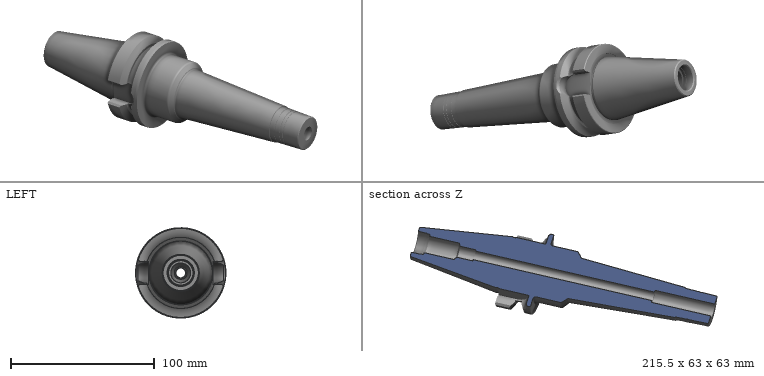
import cadquery as cq
import math

LENGTH = 215.5

TAPER_SMALL_R = 13.0
TAPER_LARGE_R = 44.5 / 2
TAPER_END_X = 64.6
TAPER_EDGE = 0.6
NECK_R = 44.0 / 2
NECK_BEVEL_LENGTH = 0.6

FLANGE_R = 63.0 / 2
FLANGE_FRONT_X = 66.3
FLANGE_BACK_X = 92.2
FLANGE_FRONT_EDGE = 0.5
FLANGE_BACK_EDGE_LENGTH = 1.5
FLANGE_BACK_EDGE_DEPTH = 0.2
RELIEF_R = 24.8
RELIEF_DEPTH = 0.5
GROOVE_START_X = 76.5
GROOVE_END_X = 87.0
GROOVE_FLANK_LENGTH = 2.8
GROOVE_FLANK_ANGLE = 60.0
GROOVE_FLOOR_R = 24.8

HUB_R = 44.5 / 2
HUB_FILLET = 1.5
HUB_ROUND_START_X = 111.0
HUB_BEVEL_START_X = 112.7
HUB_BEVEL_START_R = 21.3
HUB_END_X = 114.8
HUB_END_R = 18.7

SHANK_START_X = 116.0
SHANK_START_R = 17.7
SHANK_FILLET = 1.3
SHANK_END_X = 191.7
SHANK_END_R = 13.25
NOSE_START_R = 12.7
NOSE_END_R = 12.0
NOSE_EDGE = 0.5
RING_CENTERS_X = (196.2, 200.5, 203.1)
RING_WIDTH = 0.9
RING_DEPTH = 0.2

SLOT_WIDTH = 16.2
SLOT_FLOOR_Y = 22.5
SLOT_ARC_X = 80.3
SLOT_MOUTH_CHAMFER = 1.3
SLOT_END_BEVEL_DEPTH = 1.7

MOUTH_R = 17.7 / 2
MOUTH_CHAMFER = 0.6
COUNTERBORE_R = 17.0 / 2
MOUTH_DEPTH = 6.5
COUNTERBORE_DEPTH = 8.6
THREAD_R = 13.8 / 2
THREAD_END_X = 30.2
DRILL_POINT_ANGLE = 118.0
COOLANT_R = 7.0 / 2
PILOT_R = 9.0 / 2
PILOT_END_X = 43.0
TOOL_BORE_R = 10.0 / 2
TOOL_BORE_DEPTH = 43.0


def revolve_about_x(outline):
    return outline.close().revolve(360, (0, 0, 0), (1, 0, 0))


def make_body():
    flank_drop = GROOVE_FLANK_LENGTH * math.tan(math.radians(GROOVE_FLANK_ANGLE))
    flank_r = FLANGE_R - flank_drop
    outline = (
        cq.Workplane("XY")
        .moveTo(0, 0)
        .lineTo(0, TAPER_SMALL_R - TAPER_EDGE)
        .lineTo(TAPER_EDGE, TAPER_SMALL_R)
        .lineTo(TAPER_END_X, TAPER_LARGE_R)
        .lineTo(TAPER_END_X + NECK_BEVEL_LENGTH, NECK_R)
        .lineTo(FLANGE_FRONT_X + RELIEF_DEPTH, NECK_R)
        .lineTo(FLANGE_FRONT_X + RELIEF_DEPTH, RELIEF_R)
        .lineTo(FLANGE_FRONT_X, RELIEF_R)
        .lineTo(FLANGE_FRONT_X, FLANGE_R - FLANGE_FRONT_EDGE)
        .lineTo(FLANGE_FRONT_X + FLANGE_FRONT_EDGE, FLANGE_R)
        .lineTo(GROOVE_START_X, FLANGE_R)
        .lineTo(GROOVE_START_X + GROOVE_FLANK_LENGTH, flank_r)
        .lineTo(GROOVE_START_X + GROOVE_FLANK_LENGTH, GROOVE_FLOOR_R)
        .lineTo(GROOVE_END_X - GROOVE_FLANK_LENGTH, GROOVE_FLOOR_R)
        .lineTo(GROOVE_END_X - GROOVE_FLANK_LENGTH, flank_r)
        .lineTo(GROOVE_END_X, FLANGE_R)
        .lineTo(FLANGE_BACK_X - FLANGE_BACK_EDGE_LENGTH, FLANGE_R)
        .lineTo(FLANGE_BACK_X, FLANGE_R - FLANGE_BACK_EDGE_DEPTH)
        .lineTo(FLANGE_BACK_X, HUB_R + HUB_FILLET)
        .radiusArc((FLANGE_BACK_X + HUB_FILLET, HUB_R), -HUB_FILLET)
        .lineTo(HUB_ROUND_START_X, HUB_R)
        .tangentArcPoint((HUB_BEVEL_START_X, HUB_BEVEL_START_R), relative=False)
        .lineTo(HUB_END_X, HUB_END_R)
        .radiusArc((SHANK_START_X, SHANK_START_R), -SHANK_FILLET)
        .lineTo(SHANK_END_X, SHANK_END_R)
        .lineTo(SHANK_END_X, NOSE_START_R)
        .lineTo(LENGTH - NOSE_EDGE, NOSE_END_R)
        .lineTo(LENGTH, NOSE_END_R - NOSE_EDGE)
        .lineTo(LENGTH, 0)
    )
    return revolve_about_x(outline)


def make_bore():
    point_length = (THREAD_R - PILOT_R) / math.tan(math.radians(DRILL_POINT_ANGLE / 2))
    outline = (
        cq.Workplane("XY")
        .moveTo(0, 0)
        .lineTo(0, MOUTH_R + MOUTH_CHAMFER)
        .lineTo(MOUTH_CHAMFER, MOUTH_R)
        .lineTo(MOUTH_DEPTH, MOUTH_R)
        .lineTo(MOUTH_DEPTH, COUNTERBORE_R)
        .lineTo(COUNTERBORE_DEPTH, COUNTERBORE_R)
        .lineTo(COUNTERBORE_DEPTH, THREAD_R)
        .lineTo(THREAD_END_X, THREAD_R)
        .lineTo(THREAD_END_X + point_length, PILOT_R)
        .lineTo(PILOT_END_X, PILOT_R)
        .lineTo(PILOT_END_X, COOLANT_R)
        .lineTo(LENGTH - TOOL_BORE_DEPTH, COOLANT_R)
        .lineTo(LENGTH - TOOL_BORE_DEPTH, TOOL_BORE_R)
        .lineTo(LENGTH, TOOL_BORE_R)
        .lineTo(LENGTH, 0)
    )
    return revolve_about_x(outline)


def make_ring_groove(center_x):
    """Shallow ring cut into the slightly conical nose."""
    nose_slope = (NOSE_END_R - NOSE_START_R) / (LENGTH - NOSE_EDGE - SHANK_END_X)
    floor_r = NOSE_START_R + nose_slope * (center_x - SHANK_END_X) - RING_DEPTH
    return (
        cq.Workplane("YZ", origin=(center_x - RING_WIDTH / 2, 0, 0))
        .circle(SHANK_END_R)
        .circle(floor_r)
        .extrude(RING_WIDTH)
    )


def make_slot():
    """Round-ended slot on the -Y side, chamfered at the front land and around its end."""
    half_width = SLOT_WIDTH / 2
    slot = (
        cq.Workplane("XZ", origin=(0, -SLOT_FLOOR_Y, 0))
        .moveTo(TAPER_END_X, -half_width)
        .lineTo(SLOT_ARC_X, -half_width)
        .threePointArc((SLOT_ARC_X + half_width, 0), (SLOT_ARC_X, half_width))
        .lineTo(TAPER_END_X, half_width)
        .close()
        .extrude(FLANGE_R - SLOT_FLOOR_Y)
    )
    mouth_half = half_width + SLOT_MOUTH_CHAMFER
    mouth_y = math.sqrt(FLANGE_R**2 - mouth_half**2)
    mouth = (
        cq.Workplane("YZ", origin=(TAPER_END_X, 0, 0))
        .polyline([
            (-mouth_y + SLOT_MOUTH_CHAMFER, -half_width),
            (-mouth_y, -mouth_half),
            (-FLANGE_R, -mouth_half),
            (-FLANGE_R, mouth_half),
            (-mouth_y, mouth_half),
            (-mouth_y + SLOT_MOUTH_CHAMFER, half_width),
        ])
        .close()
        .extrude(SLOT_ARC_X - TAPER_END_X)
    )
    end_bevel = (
        cq.Workplane("XZ", origin=(SLOT_ARC_X, -FLANGE_R + SLOT_END_BEVEL_DEPTH, 0))
        .circle(half_width)
        .workplane(offset=SLOT_END_BEVEL_DEPTH)
        .circle(mouth_half)
        .loft()
    )
    return slot.union(mouth).union(end_bevel)


result = make_body().cut(make_bore())
for ring_x in RING_CENTERS_X:
    result = result.cut(make_ring_groove(ring_x))
front_slot = make_slot()
result = result.cut(front_slot).cut(front_slot.mirror("XZ"))